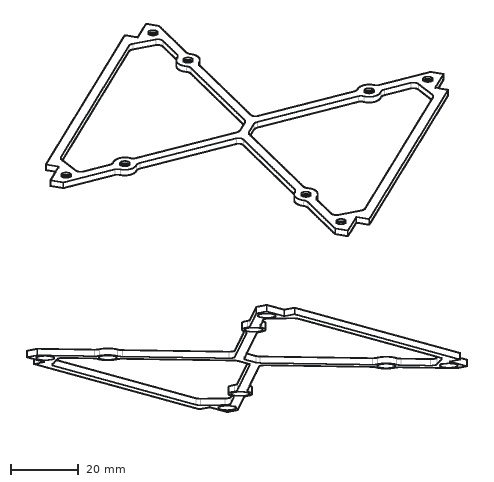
import cadquery as cq
import math

width = 100.0
depth = 92.0
thickness = 2.0
half_width = width / 2
half_depth = depth / 2

corner_notch_x = 4.0
corner_notch_y = 8.0
tab_top_width = 4.0
tab_outer_x = half_width - corner_notch_x
tab_inner_x = tab_outer_x - tab_top_width
side_rail_end_y = half_depth - corner_notch_y

side_rail_width = 3.0
diagonal_rail_width = 3.0
waist_width = 2.8
crotch_y = 5.9
crotch_radius = 1.6
rail_slope = (half_depth - crotch_y) / tab_inner_x

window_outer_x = half_width - side_rail_width
window_side_end_y = 33.5
window_tip_x = 39.4
window_fillet_radius = 1.8

corner_hole_x = 42.5
corner_hole_y = 41.8
boss_x = 28.0
boss_y = 30.4
boss_radius = 3.5
boss_fillet_radius = 2.0
hole_diameter = 2.9
countersink_diameter = 5.4
countersink_angle = 90.0

position_tolerance = 0.01


def in_four_quadrants(x, y):
    return [(sx * x, sy * y) for sx in (1, -1) for sy in (1, -1)]


boss_centers = in_four_quadrants(boss_x, boss_y)
corner_hole_centers = in_four_quadrants(corner_hole_x, corner_hole_y)


def make_bosses():
    return cq.Workplane("XY").pushPoints(boss_centers).circle(boss_radius).extrude(thickness)


def make_bow_tie():
    """Solid plate with the outer outline, before the windows are opened."""
    right_top = [
        (0, crotch_y),
        (tab_inner_x, half_depth),
        (tab_outer_x, half_depth),
        (tab_outer_x, side_rail_end_y),
        (half_width, side_rail_end_y),
    ]
    right_bottom = [(x, -y) for x, y in reversed(right_top)]
    right_side = right_top + right_bottom
    left_side = [(-x, -y) for x, y in right_side[1:-1]]
    outline = right_side + left_side
    return cq.Workplane("XY").polyline(outline).close().extrude(thickness)


def edges_at(body, points):
    """Vertical edges of the body that stand on the given XY points."""

    def stands_on_a_point(edge):
        center = edge.Center()
        return any(math.dist((center.x, center.y), point) < position_tolerance for point in points)

    return body.edges("|Z").filter(stands_on_a_point)


def boss_rail_junctions():
    """Points where the outer edge of a diagonal rail crosses a boss circle."""
    rail_angle = math.atan(rail_slope)
    boss_offset = (crotch_y + rail_slope * boss_x - boss_y) * math.cos(rail_angle)
    half_chord = math.sqrt(boss_radius**2 - boss_offset**2)
    foot_x = boss_x - boss_offset * math.sin(rail_angle)
    junctions = []
    for direction in (1, -1):
        x = foot_x + direction * half_chord * math.cos(rail_angle)
        junctions += in_four_quadrants(x, crotch_y + rail_slope * x)
    return junctions


def make_window(side):
    """Opening between the diagonal rails on one side of the waist, rounded and clear of the bosses."""
    inner_edge_y = crotch_y - diagonal_rail_width * math.hypot(1, rail_slope)
    waist_x = waist_width / 2
    top = [
        (side * waist_x, inner_edge_y + rail_slope * waist_x),
        (side * window_tip_x, inner_edge_y + rail_slope * window_tip_x),
        (side * window_outer_x, window_side_end_y),
    ]
    bottom = [(x, -y) for x, y in reversed(top)]
    opening = cq.Workplane("XY").polyline(top + bottom).close().extrude(thickness)
    return opening.cut(make_bosses()).edges("|Z").fillet(window_fillet_radius)


def make_countersunk_holes():
    """Cutters for all the through holes, each countersunk from the bottom face."""
    hole_radius = hole_diameter / 2
    sink_radius = countersink_diameter / 2
    sink_depth = (sink_radius - hole_radius) / math.tan(math.radians(countersink_angle / 2))
    profile = [
        (0, 0),
        (sink_radius, 0),
        (hole_radius, sink_depth),
        (hole_radius, thickness),
        (0, thickness),
    ]
    cutter = cq.Workplane("XZ").polyline(profile).close().revolve(360, (0, 0), (0, 1)).val()
    return (
        cq.Workplane("XY")
        .pushPoints(corner_hole_centers + boss_centers)
        .eachpoint(lambda location: cutter.moved(location), combine=False)
    )


plate = make_bow_tie().union(make_bosses())
plate = edges_at(plate, boss_rail_junctions()).fillet(boss_fillet_radius)
plate = edges_at(plate, [(0, crotch_y), (0, -crotch_y)]).fillet(crotch_radius)

for side in (1, -1):
    plate = plate.cut(make_window(side))

result = plate.cut(make_countersunk_holes())